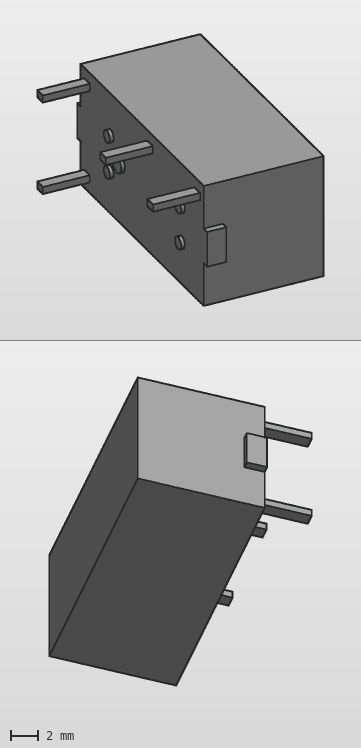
import cadquery as cq

body_width = 19.9
body_depth = 9.7
body_height = 10.0

overall_width = 21.0
tab_depth = 1.55
tab_height = 2.9

pitch = 2.54
pin_width = 0.9
pin_height = 0.6
pin_length = 3.8
outer_pin_x = 3.5 * pitch
middle_pin_x = 0.5 * pitch
pin_row_z = 1.5 * pitch
pin_positions = [
    (-outer_pin_x, -pin_row_z),
    (-outer_pin_x, pin_row_z),
    (middle_pin_x, pin_row_z),
    (outer_pin_x, pin_row_z),
]

standoff_height = 0.3
small_standoff_diameter = 1.0
small_standoff_z = 1.5
left_standoff_x = -5.1
right_standoff_x = 6.4
small_standoff_positions = [
    (x, z)
    for x in (left_standoff_x, right_standoff_x)
    for z in (-small_standoff_z, small_standoff_z)
]
large_standoff_diameter = 1.4
large_standoff_position = (-3.5, 0)


def mounting_face():
    """Workplane on the mounting face: local axes are X and Z, normal is -Y."""
    return cq.Workplane("XZ")


def make_block(width, height, depth):
    """Centred block reaching back from the mounting face into +Y."""
    return mounting_face().rect(width, height).extrude(-depth)


def make_pins():
    """Rectangular pins standing out of the mounting face."""
    return mounting_face().pushPoints(pin_positions).rect(pin_width, pin_height).extrude(pin_length)


def make_standoffs(positions, diameter):
    """Short round pads standing out of the mounting face."""
    return mounting_face().pushPoints(positions).circle(diameter / 2).extrude(standoff_height)


housing = make_block(body_width, body_height, body_depth)
tabs = make_block(overall_width, tab_height, tab_depth)

result = (
    housing.union(tabs)
    .union(make_pins())
    .union(make_standoffs(small_standoff_positions, small_standoff_diameter))
    .union(make_standoffs([large_standoff_position], large_standoff_diameter))
)